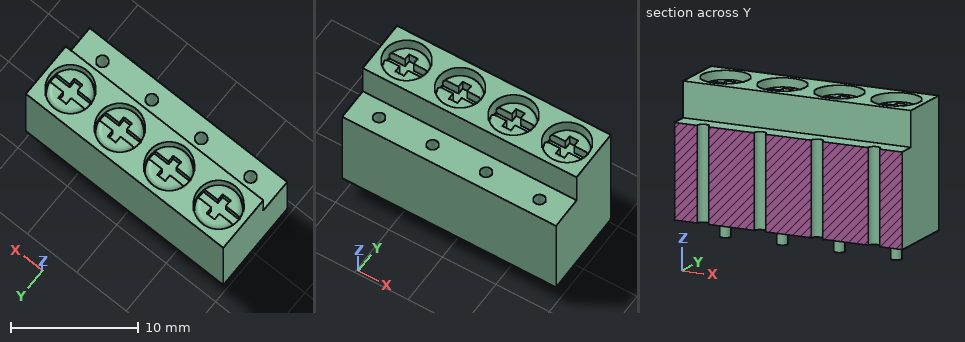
import cadquery as cq

pole_count = 4
pitch = 5.0
length = pole_count * pitch
depth = 8.0
height = 11.0
ledge_depth = 3.0
ledge_drop = 3.0
ledge_z = height - ledge_drop

screw_y = (ledge_depth + depth) / 2
well_diameter = 4.0
head_recess = 0.6
head_diameter = 3.8
head_height = 1.0
head_edge_radius = 0.5
head_top_z = height - head_recess
well_floor_z = head_top_z - head_height

drive_width = 0.8
drive_depth = 0.9
drive_arm_length = 2.0

hole_diameter = 1.0
hole_y = ledge_depth / 2

pin_diameter = 0.9
pin_length = 2.0


def at_each_pole(y, z):
    """Horizontal workplane at height z with one point per pole at the given y."""
    points = [(pitch * (pole + 0.5), y) for pole in range(pole_count)]
    return cq.Workplane("XY", origin=(0, 0, z)).pushPoints(points)


def pole_cylinders(y, bottom_z, top_z, diameter):
    """One upright cylinder per pole."""
    return at_each_pole(y, bottom_z).circle(diameter / 2).extrude(top_z - bottom_z)


def stepped_housing():
    """Solid block with a lower ledge along its front."""
    profile = [
        (0, 0),
        (depth, 0),
        (depth, height),
        (ledge_depth, height),
        (ledge_depth, ledge_z),
        (0, ledge_z),
    ]
    return cq.Workplane("YZ").polyline(profile).close().extrude(length)


def screw_heads():
    """Round-edged heads standing on the well floors, each with a cross drive."""
    heads = pole_cylinders(screw_y, well_floor_z, head_top_z, head_diameter)
    heads = heads.faces(">Z").edges().fillet(head_edge_radius)
    drive_tops = at_each_pole(screw_y, head_top_z)
    slots = drive_tops.rect(head_diameter, drive_width).extrude(-drive_depth)
    short_arms = drive_tops.rect(drive_width, drive_arm_length).extrude(-drive_depth)
    return heads.cut(slots).cut(short_arms)


wells = pole_cylinders(screw_y, well_floor_z, height, well_diameter)
ledge_holes = pole_cylinders(hole_y, 0, ledge_z, hole_diameter)
pins = pole_cylinders(screw_y, -pin_length, 0, pin_diameter)

result = (
    stepped_housing()
    .cut(wells)
    .cut(ledge_holes)
    .union(screw_heads())
    .union(pins)
)